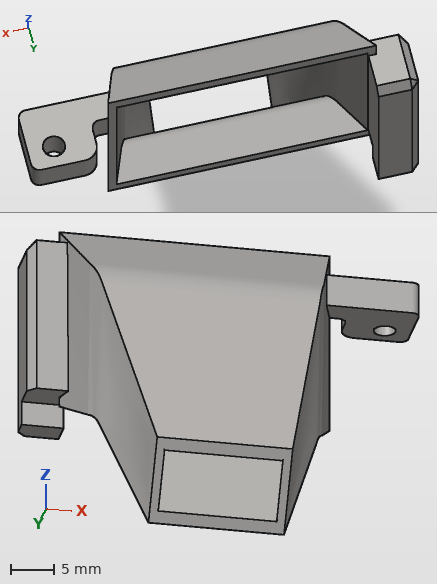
import cadquery as cq
import math

UPPER_WALL = [(0, 42.6), (-7.3, 35.25), (-9.55, 31.9), (-17.55, 8.67)]
LOWER_WALL = [(0, 20.05), (-5.95, 16.43), (-7.6, 14.63), (-12.45, 0)]
HALF_WIDTHS = [16.0, 13.85, 12.9, 8.05]
SIDE_WALL = 1.0
SLOPED_WALL = 1.1

CLIP_X_MIN = -20.05
CLIP_X_MAX = -15.1
CLIP_Y_BACK = 5.0
CLIP_Y_FRONT = -1.9
CLIP_Z_TOP = 40.35
CLIP_Z_STEP = 21.25
CLIP_Z_BOTTOM = 18.3
CLIP_TAB_DEPTH = 3.0
CLIP_CHAMFER = 0.95

LUG_X_ROOT = 13.85
LUG_X_NECK = 18.05
LUG_X_END = 26.05
LUG_Y_FRONT = -3.4
LUG_Y_NECK = -0.15
LUG_Y_BACK = 4.55
LUG_Z_BOTTOM = 34.55
LUG_THICKNESS = 3.9
LUG_END_RADIUS = 1.0
LUG_SHOULDER_RADIUS = 1.85
LUG_NECK_RADIUS = 1.0
HOLE_X = 22.95
HOLE_Y = 1.95
HOLE_DIAMETER = 2.6


def direction(start, end):
    """Angle of the line between two (Y, Z) points."""
    return math.atan2(end[1] - start[1], end[0] - start[0])


def bend_middle(wall, turn):
    """Middle point of the arc between the second and third points of a wall."""
    start, end = wall[1], wall[2]
    bulge = math.tan(turn / 4) / 2
    y_span = end[0] - start[0]
    z_span = end[1] - start[1]
    return ((start[0] + end[0]) / 2 + bulge * z_span, (start[1] + end[1]) / 2 - bulge * y_span)


def wall_turn(wall):
    """Angle by which a wall turns downwards between its two straight stretches."""
    return direction(wall[2], wall[3]) % math.tau - direction(wall[0], wall[1]) % math.tau


def offset_wall(wall, end_face_angle, distance):
    """Shift a wall sideways, keeping its ends on the inlet plane and on the outlet plane."""
    first = direction(wall[0], wall[1])
    last = direction(wall[2], wall[3])

    def shifted(point, angle):
        return (point[0] - distance * math.sin(angle), point[1] + distance * math.cos(angle))

    outlet_slide = distance / math.sin(end_face_angle - last)
    inlet = (wall[0][0], wall[0][1] + distance / math.cos(first))
    outlet = (
        wall[3][0] + outlet_slide * math.cos(end_face_angle),
        wall[3][1] + outlet_slide * math.sin(end_face_angle),
    )
    return [inlet, shifted(wall[1], first), shifted(wall[2], last), outlet]


def section_loft(upper, lower, half_widths):
    """Straight-sided loft between two rectangular cross-sections."""
    wires = []
    for top, bottom, half in zip(upper, lower, half_widths):
        corners = [(-half, *top), (half, *top), (half, *bottom), (-half, *bottom)]
        wires.append(cq.Wire.makePolygon([cq.Vector(*corner) for corner in corners], close=True))
    return cq.Workplane(obj=cq.Solid.makeLoft(wires, True))


def bend(upper, lower, half_widths):
    """Curved stretch between the second and third sections, with tapering sides."""
    profile = (
        cq.Workplane("YZ")
        .moveTo(*upper[1])
        .threePointArc(bend_middle(upper, wall_turn(upper)), upper[2])
        .lineTo(*lower[2])
        .threePointArc(bend_middle(lower, wall_turn(lower)), lower[1])
        .close()
        .extrude(half_widths[1], both=True)
    )

    def extended(point, far_point):
        return (2 * point[0] - far_point[0], 2 * point[1] - far_point[1])

    sections = (1, 2)
    long_upper = [extended(upper[i], lower[i]) for i in sections]
    long_lower = [extended(lower[i], upper[i]) for i in sections]
    return profile.intersect(section_loft(long_upper, long_lower, half_widths[1:3]))


def duct_body(upper, lower, half_widths):
    inlet = section_loft(upper[:2], lower[:2], half_widths[:2])
    outlet = section_loft(upper[2:], lower[2:], half_widths[2:])
    return inlet.union(bend(upper, lower, half_widths)).union(outlet)


def duct_cavity():
    outlet_angle = direction(LOWER_WALL[3], UPPER_WALL[3])
    inner_upper = offset_wall(UPPER_WALL, outlet_angle, SLOPED_WALL)
    inner_lower = offset_wall(LOWER_WALL, outlet_angle, -SLOPED_WALL)
    return duct_body(inner_upper, inner_lower, [half - SIDE_WALL for half in HALF_WIDTHS])


def clip():
    width = CLIP_X_MAX - CLIP_X_MIN
    depth = CLIP_Y_BACK - CLIP_Y_FRONT
    height = CLIP_Z_TOP - CLIP_Z_BOTTOM
    block = (
        cq.Workplane("XY")
        .box(width, depth, height, centered=False)
        .translate((CLIP_X_MIN, CLIP_Y_FRONT, CLIP_Z_BOTTOM))
    )
    block = block.edges("(<X and >Z) or (<X and |Z) or (>Y and >Z)").chamfer(CLIP_CHAMFER)
    notch = (
        cq.Workplane("XY")
        .box(width, depth - CLIP_TAB_DEPTH, CLIP_Z_STEP - CLIP_Z_BOTTOM, centered=False)
        .translate((CLIP_X_MIN, CLIP_Y_FRONT, CLIP_Z_BOTTOM))
    )
    return block.cut(notch)


def lug():
    outline = [
        (LUG_X_ROOT, LUG_Y_FRONT),
        (LUG_X_END, LUG_Y_FRONT),
        (LUG_X_END, LUG_Y_BACK),
        (LUG_X_NECK, LUG_Y_BACK),
        (LUG_X_NECK, LUG_Y_NECK),
        (LUG_X_ROOT, LUG_Y_NECK),
    ]
    plate = cq.Workplane("XY", origin=(0, 0, LUG_Z_BOTTOM)).polyline(outline).close().extrude(LUG_THICKNESS)
    plate = plate.edges("|Z and >X").fillet(LUG_END_RADIUS)
    shoulder = cq.selectors.NearestToPointSelector((LUG_X_NECK, LUG_Y_BACK, LUG_Z_BOTTOM + LUG_THICKNESS / 2))
    plate = plate.edges("|Z").edges(shoulder).fillet(LUG_SHOULDER_RADIUS)
    neck = cq.selectors.NearestToPointSelector((LUG_X_NECK, LUG_Y_NECK, LUG_Z_BOTTOM + LUG_THICKNESS / 2))
    plate = plate.edges("|Z").edges(neck).fillet(LUG_NECK_RADIUS)
    hole = (
        cq.Workplane("XY", origin=(HOLE_X, HOLE_Y, LUG_Z_BOTTOM))
        .circle(HOLE_DIAMETER / 2)
        .extrude(LUG_THICKNESS)
    )
    return plate.cut(hole)


outer = duct_body(UPPER_WALL, LOWER_WALL, HALF_WIDTHS)
result = outer.union(clip()).union(lug()).cut(duct_cavity())